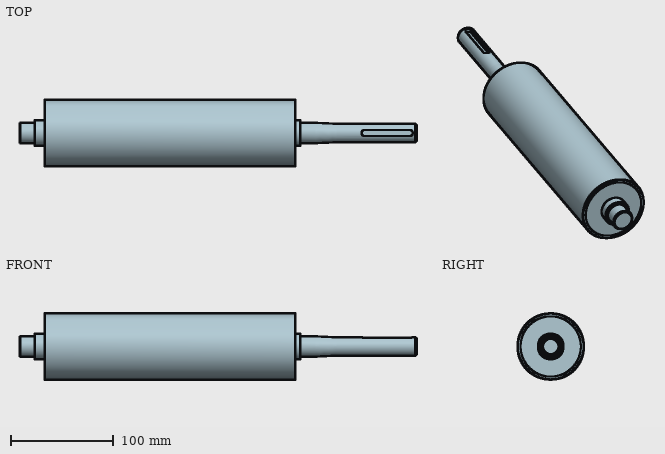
import cadquery as cq

cover_diameter = 65.0
core_diameter = 59.0
collar_diameter = 25.0
journal_diameter = 20.0
drive_diameter = 18.0

total_length = 387.0
shaft_start = -total_length / 2
shaft_end = total_length / 2
collar_start = shaft_start + 14.5
roller_start = shaft_start + 24.0
roller_length = 245.0
roller_end = roller_start + roller_length
collar_end = roller_end + 4.5
journal_end = collar_end + 15.0
taper_end = journal_end + 20.5

cover_chamfer = 0.5
collar_chamfer = 0.5
drive_chamfer = 1.5
journal_chamfer = (journal_diameter - drive_diameter) / 2

keyway_length = 50.0
keyway_width = 6.0
keyway_depth = 3.5
keyway_end_margin = 4.0


def cylinder(start, end, diameter):
    """Solid cylinder along X between two stations."""
    return cq.Workplane("YZ", origin=(start, 0, 0)).circle(diameter / 2).extrude(end - start)


def make_shaft():
    """Stepped shaft with chamfered ends, a tapered drive side and a keyway."""
    collar_radius = collar_diameter / 2
    journal_radius = journal_diameter / 2
    drive_radius = drive_diameter / 2
    profile = [
        (shaft_start, 0),
        (shaft_start, journal_radius - journal_chamfer),
        (shaft_start + journal_chamfer, journal_radius),
        (collar_start, journal_radius),
        (collar_start, collar_radius - collar_chamfer),
        (collar_start + collar_chamfer, collar_radius),
        (collar_end - collar_chamfer, collar_radius),
        (collar_end, collar_radius - collar_chamfer),
        (collar_end, journal_radius),
        (journal_end, journal_radius),
        (taper_end, drive_radius),
        (shaft_end - drive_chamfer, drive_radius),
        (shaft_end, drive_radius - drive_chamfer),
        (shaft_end, 0),
    ]
    shaft = cq.Workplane("XY").polyline(profile).close().revolve(360, (0, 0, 0), (1, 0, 0))

    keyway_center = shaft_end - keyway_end_margin - keyway_length / 2
    keyway_floor = drive_radius - keyway_depth
    keyway = (
        cq.Workplane("XY", origin=(keyway_center, 0, keyway_floor))
        .slot2D(keyway_length, keyway_width)
        .extrude(drive_radius)
    )
    return shaft.cut(keyway)


def make_core():
    """Roller core fitted on the shaft collar."""
    barrel = cylinder(roller_start, roller_end, core_diameter)
    bore = cylinder(roller_start, roller_end, collar_diameter)
    return barrel.cut(bore)


def make_cover():
    """Sleeve around the core, flush with it, with both outer rims chamfered."""
    outside = cylinder(roller_start, roller_end, cover_diameter).edges("%CIRCLE").chamfer(cover_chamfer)
    bore = cylinder(roller_start, roller_end, core_diameter)
    return outside.cut(bore)


shaft = make_shaft()
core = make_core()
cover = make_cover()

result = cq.Compound.makeCompound([shaft.val(), core.val(), cover.val()])